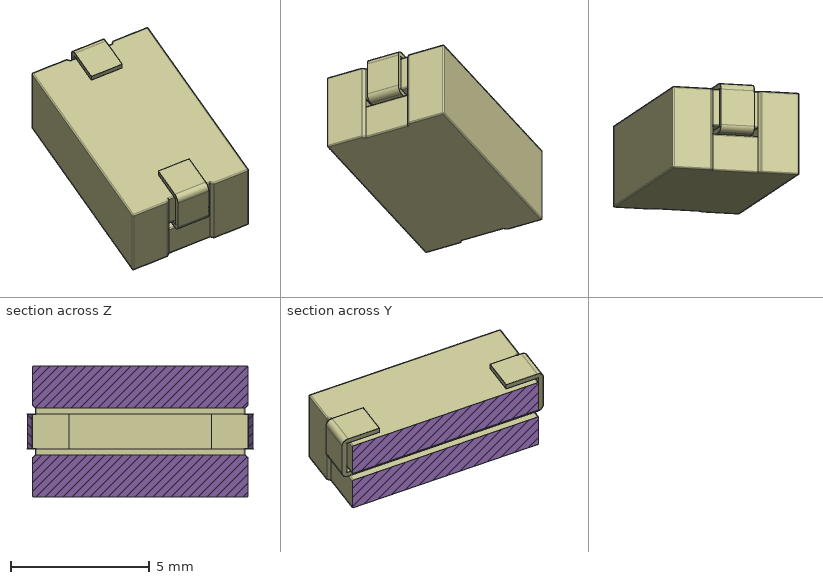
import cadquery as cq

OVERALL_LENGTH = 8.2
CORE_WIDTH = 4.75
OVERALL_HEIGHT = 3.2

METAL_THICKNESS = 0.2
METAL_WIDTH = 1.26
BEND_RADIUS = 0.25
ARM_LENGTH = 1.52

CORE_LENGTH = OVERALL_LENGTH - 2 * METAL_THICKNESS
CORE_HEIGHT = OVERALL_HEIGHT - METAL_THICKNESS
EDGE_RADIUS = 0.05
NOTCH_DEPTH = 0.11
NOTCH_FLOOR_WIDTH = 1.69
NOTCH_FLOOR_X = CORE_LENGTH / 2 - NOTCH_DEPTH
TUNNEL_HEIGHT = 0.3

CORE_TOP = CORE_HEIGHT / 2
TERMINAL_TOP = CORE_TOP + METAL_THICKNESS
TERMINAL_BOTTOM = -METAL_THICKNESS / 2


def notch_cutter(end):
    """Shallow full-height notch with 45-degree sides in one end of the core."""
    end_x = end * CORE_LENGTH / 2
    floor_x = end * NOTCH_FLOOR_X
    floor_y = NOTCH_FLOOR_WIDTH / 2
    mouth_y = floor_y + NOTCH_DEPTH
    return (
        cq.Workplane("XY")
        .polyline([(end_x, -mouth_y), (floor_x, -floor_y), (floor_x, floor_y), (end_x, mouth_y)])
        .close()
        .extrude(CORE_HEIGHT / 2, both=True)
    )


def tunnel_cutter():
    """Flat passage along X, as wide as the notch floors, with a rounded flare at each mouth."""
    wall_z = TUNNEL_HEIGHT / 2
    flare_z = wall_z + EDGE_RADIUS
    flare_start_x = NOTCH_FLOOR_X - EDGE_RADIUS
    return (
        cq.Workplane("XZ")
        .moveTo(-flare_start_x, wall_z)
        .lineTo(flare_start_x, wall_z)
        .radiusArc((NOTCH_FLOOR_X, flare_z), -EDGE_RADIUS)
        .lineTo(NOTCH_FLOOR_X, -flare_z)
        .radiusArc((flare_start_x, -wall_z), -EDGE_RADIUS)
        .lineTo(-flare_start_x, -wall_z)
        .radiusArc((-NOTCH_FLOOR_X, -flare_z), -EDGE_RADIUS)
        .lineTo(-NOTCH_FLOOR_X, flare_z)
        .radiusArc((-flare_start_x, wall_z), -EDGE_RADIUS)
        .close()
        .extrude(NOTCH_FLOOR_WIDTH / 2, both=True)
    )


def make_core():
    """Block with rounded outer edges, a notch in each end and a flat tunnel between the notches."""
    block = cq.Workplane("XY").box(CORE_LENGTH, CORE_WIDTH, CORE_HEIGHT)
    for end in (-1, 1):
        block = block.cut(notch_cutter(end))

    block = block.faces("<X or >X").edges("|Z").fillet(EDGE_RADIUS)
    block = block.faces("<Z or >Z").edges().fillet(EDGE_RADIUS)

    return block.cut(tunnel_cutter())


def make_terminal(end):
    """C-shaped clip: a foot on the core, a leg down the end and a lip into the tunnel."""
    outer_x = end * OVERALL_LENGTH / 2
    leg_inner_x = end * CORE_LENGTH / 2
    tip_x = end * (OVERALL_LENGTH / 2 - ARM_LENGTH)
    lip_top = METAL_THICKNESS / 2
    clip = (
        cq.Workplane("XZ")
        .workplane(offset=-METAL_WIDTH / 2)
        .moveTo(tip_x, TERMINAL_TOP)
        .lineTo(outer_x, TERMINAL_TOP)
        .lineTo(outer_x, TERMINAL_BOTTOM)
        .lineTo(tip_x, TERMINAL_BOTTOM)
        .lineTo(tip_x, lip_top)
        .lineTo(leg_inner_x, lip_top)
        .lineTo(leg_inner_x, CORE_TOP)
        .lineTo(tip_x, CORE_TOP)
        .close()
        .extrude(METAL_WIDTH)
    )
    outer_face = ">X" if end > 0 else "<X"
    return clip.faces(outer_face).edges("|Y").fillet(BEND_RADIUS)


def make_conductor():
    """Flat strip in the tunnel, joining the lip tips of the two terminals."""
    length = OVERALL_LENGTH - 2 * ARM_LENGTH
    return cq.Workplane("XY").box(length, METAL_WIDTH, METAL_THICKNESS)


core = make_core()
terminals = [make_terminal(end) for end in (-1, 1)]
conductor = make_conductor()

result = cq.Compound.makeCompound(
    [core.val(), *[terminal.val() for terminal in terminals], conductor.val()]
)